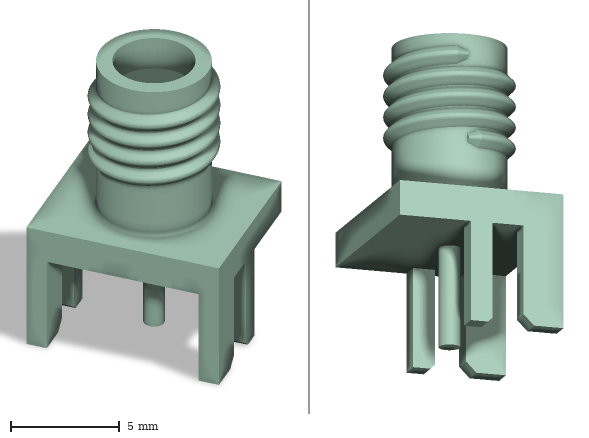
import cadquery as cq
import math

total_height = 14.28
plate_top = 6.4
plate_bottom = 4.74

plate_x = 9.52
plate_y = 7.93
leg_thickness = 1.01
front_leg_depth = 1.93
front_leg_chamfer = 0.5
rear_leg_depth = 1.05
rear_leg_chamfer = 0.21

collar_radius = 2.67
collar_fillet = 0.2
bore_radius = 1.91
bore_depth = 1.65
pin_radius = 0.5

thread_radius = 3.05
thread_pitch = 1.0
thread_turns = 4
thread_start = 9.3
thread_root_width = 0.91
thread_shoulder_width = 0.29
thread_crest_rise = 0.05
thread_end_scale = 0.5
thread_taper_angle = 11.0
root_overlap = 0.03

dielectric_top = total_height - bore_depth


def make_leg(y_front, y_rear, chamfer, chamfered_side):
    """Leg on the -X edge of the plate, with one bottom edge chamfered."""
    leg = cq.Workplane("XY").box(
        leg_thickness, y_rear - y_front, plate_bottom, centered=False
    )
    leg = leg.faces(chamfered_side).edges("<Z").chamfer(chamfer)
    return leg.translate((-plate_x / 2, y_front, 0))


def make_housing():
    """Plate, four legs and bored collar as one solid."""
    plate = (
        cq.Workplane("XY", origin=(0, 0, plate_bottom))
        .box(plate_x, plate_y, plate_top - plate_bottom, centered=(True, True, False))
    )
    collar = (
        cq.Workplane("XY", origin=(0, 0, plate_top))
        .circle(collar_radius)
        .extrude(total_height - plate_top)
    )
    body = plate.union(collar)
    body = body.edges("%CIRCLE").edges("<Z").fillet(collar_fillet)

    front_edge = -plate_y / 2
    front_leg = make_leg(front_edge, front_edge + front_leg_depth, front_leg_chamfer, ">Y")
    rear_leg = make_leg(-rear_leg_depth / 2, rear_leg_depth / 2, rear_leg_chamfer, "<Y")
    for leg in (front_leg, rear_leg):
        body = body.union(leg).union(leg.mirror("YZ"))

    bore = (
        cq.Workplane("XY", origin=(0, 0, plate_bottom))
        .circle(bore_radius)
        .extrude(total_height - plate_bottom)
    )
    return body.cut(bore).solids()


def make_pin():
    """Centre pin, flush with the dielectric at the top and the legs at the bottom."""
    return cq.Workplane("XY").circle(pin_radius).extrude(dielectric_top)


def make_dielectric():
    """Insulating sleeve between the collar bore and the pin."""
    return (
        cq.Workplane("XY", origin=(0, 0, plate_bottom))
        .circle(bore_radius)
        .circle(pin_radius)
        .extrude(dielectric_top - plate_bottom)
    )


def thread_section(turn_angle, scale):
    """Round-crested ridge section at an angle along the helix, whose zero is on -X."""
    ridge_height = thread_radius - collar_radius
    flank_height = ridge_height - thread_crest_rise
    flank_slope = (thread_root_width - thread_shoulder_width) / 2 / flank_height
    inner_radius = collar_radius - root_overlap
    inner_half = scale * thread_root_width / 2 + root_overlap * flank_slope
    shoulder_radius = collar_radius + scale * flank_height
    shoulder_half = scale * thread_shoulder_width / 2
    crest_radius = collar_radius + scale * ridge_height
    z_centre = thread_start + thread_pitch * turn_angle / 360
    direction = math.radians(180 + turn_angle)

    def point(radius, offset):
        return cq.Vector(radius * math.cos(direction), radius * math.sin(direction), z_centre + offset)

    inner_low = point(inner_radius, -inner_half)
    shoulder_low = point(shoulder_radius, -shoulder_half)
    crest = point(crest_radius, 0)
    shoulder_high = point(shoulder_radius, shoulder_half)
    inner_high = point(inner_radius, inner_half)
    return cq.Wire.assembleEdges([
        cq.Edge.makeLine(inner_low, shoulder_low),
        cq.Edge.makeThreePointArc(shoulder_low, crest, shoulder_high),
        cq.Edge.makeLine(shoulder_high, inner_high),
        cq.Edge.makeLine(inner_high, inner_low),
    ])


def make_thread():
    """Right-handed ridge on the collar, tapering at both ends."""
    last_angle = 360 * thread_turns
    full_start = thread_taper_angle
    full_end = last_angle - thread_taper_angle

    helix_height = thread_pitch * (full_end - full_start) / 360
    helix = (
        cq.Wire.makeHelix(thread_pitch, helix_height, collar_radius)
        .rotate(cq.Vector(0, 0, 0), cq.Vector(0, 0, 1), 180 + full_start)
        .translate(cq.Vector(0, 0, thread_start + thread_pitch * full_start / 360))
    )
    ridge = cq.Workplane(cq.Solid.sweep(thread_section(full_start, 1), [], helix, True, True))

    for full_angle, tip_angle in ((full_start, 0), (full_end, last_angle)):
        taper = cq.Solid.makeLoft(
            [thread_section(full_angle, 1), thread_section(tip_angle, thread_end_scale)], True
        )
        ridge = ridge.union(cq.Workplane(taper))

    core = cq.Workplane("XY").circle(collar_radius).extrude(total_height)
    return ridge.cut(core).solids()


housing = make_housing()
dielectric = make_dielectric()
pin = make_pin()
thread = make_thread()

result = cq.Compound.makeCompound([
    housing.val(),
    dielectric.val(),
    pin.val(),
    thread.val(),
])